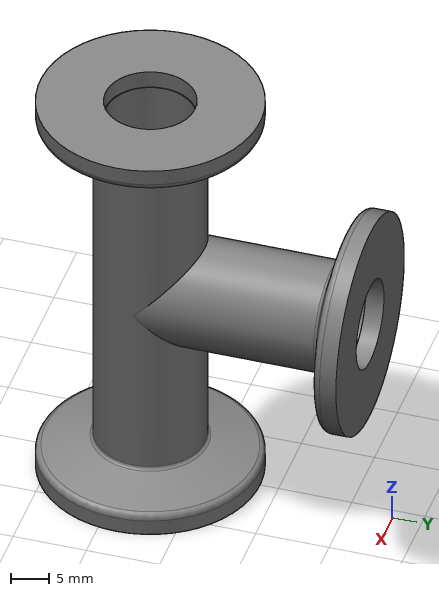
import cadquery as cq
import math

ARM_LENGTH = 30.0
PIPE_RADIUS = 7.5
BORE_RADIUS = 6.0
SOCKET_RADIUS = 6.1
SOCKET_DEPTH = 2.5

FLANGE_RADIUS = 15.0
RIM_THICKNESS = 3.0
CLAMP_ANGLE = 15.0
RIM_FILLET = 1.0
NECK_FILLET = 0.5

CONE_HEIGHT = (FLANGE_RADIUS - PIPE_RADIUS) * math.tan(math.radians(CLAMP_ANGLE))
RIM_HEIGHT = ARM_LENGTH - RIM_THICKNESS
NECK_HEIGHT = RIM_HEIGHT - CONE_HEIGHT

ARM_ROTATIONS = (0, 180, -90)


def circle_edge_at(radius, height):
    """Select the full circle of the given radius and height on an upright arm."""
    margin = 0.01
    low = (-radius - margin, -radius - margin, height - margin)
    high = (radius + margin, radius + margin, height + margin)
    return cq.selectors.BoxSelector(low, high, boundingbox=True)


def rotate_arm(arm, angle):
    return arm.rotate((0, 0, 0), (1, 0, 0), angle)


def make_arm():
    """Solid pipe along +Z, ending in a flange with a conical back face."""
    half_profile = (
        cq.Workplane("XZ")
        .moveTo(0, 0)
        .lineTo(PIPE_RADIUS, 0)
        .lineTo(PIPE_RADIUS, NECK_HEIGHT)
        .lineTo(FLANGE_RADIUS, RIM_HEIGHT)
        .lineTo(FLANGE_RADIUS, ARM_LENGTH)
        .lineTo(0, ARM_LENGTH)
        .close()
    )
    arm = half_profile.revolve(360, (0, 0, 0), (0, 1, 0))
    arm = arm.edges(circle_edge_at(FLANGE_RADIUS, RIM_HEIGHT)).fillet(RIM_FILLET)
    return arm.edges(circle_edge_at(PIPE_RADIUS, NECK_HEIGHT)).fillet(NECK_FILLET)


def make_bore():
    """Bore of one arm, from the axis crossing to the wider mouth at the flange face."""
    bore = cq.Workplane("XY").circle(BORE_RADIUS).extrude(ARM_LENGTH)
    mouth = (
        cq.Workplane("XY")
        .workplane(offset=ARM_LENGTH - SOCKET_DEPTH)
        .circle(SOCKET_RADIUS)
        .extrude(SOCKET_DEPTH)
    )
    return bore.union(mouth)


def join_arms(arm):
    """Unite one copy of the arm for each direction of the tee."""
    joined = rotate_arm(arm, ARM_ROTATIONS[0])
    for angle in ARM_ROTATIONS[1:]:
        joined = joined.union(rotate_arm(arm, angle))
    return joined


result = join_arms(make_arm()).cut(join_arms(make_bore()))